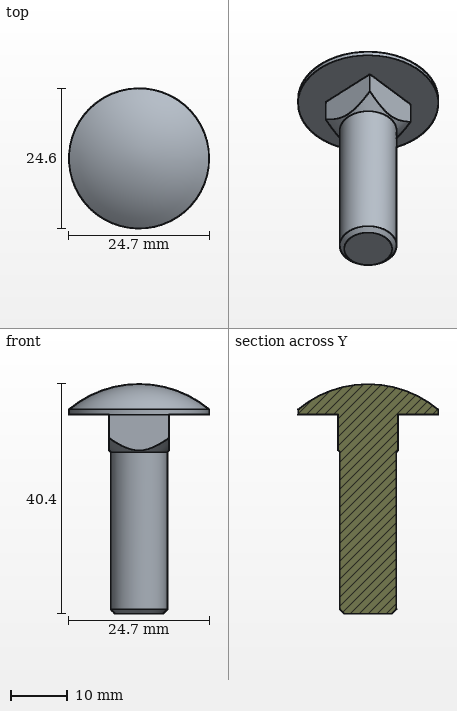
import cadquery as cq
import math

head_diameter = 24.65
head_height = 5.38
rim_height = 0.9
neck_width = 10.58
neck_length = 6.58
neck_taper_angle = 45
shank_diameter = 10.0
shank_length = 35.0
tip_chamfer = 0.8

head_radius = head_diameter / 2
shank_radius = shank_diameter / 2


def make_head():
    """Spherical dome standing on a thin cylindrical rim."""
    dome_height = head_height - rim_height
    dome_radius = (head_radius**2 + dome_height**2) / (2 * dome_height)
    dome_centre_z = head_height - dome_radius
    mid_x = head_radius / 2
    mid_z = dome_centre_z + math.sqrt(dome_radius**2 - mid_x**2)
    return (
        cq.Workplane("XZ")
        .moveTo(0, 0)
        .lineTo(head_radius, 0)
        .lineTo(head_radius, rim_height)
        .threePointArc((mid_x, mid_z), (0, head_height))
        .close()
        .revolve(360, (0, 0, 0), (0, 1, 0))
    )


def make_neck():
    """Square neck whose lower corners are cut by a cone narrowing to the shank."""
    square = cq.Workplane("XY").rect(neck_width, neck_width).extrude(-neck_length)
    envelope_radius = neck_width
    taper_length = (envelope_radius - shank_radius) / math.tan(math.radians(neck_taper_angle))
    envelope = (
        cq.Workplane("XZ")
        .moveTo(0, 0)
        .lineTo(envelope_radius, 0)
        .lineTo(envelope_radius, taper_length - neck_length)
        .lineTo(shank_radius, -neck_length)
        .lineTo(0, -neck_length)
        .close()
        .revolve(360, (0, 0, 0), (0, 1, 0))
    )
    return square.intersect(envelope)


def make_shank():
    """Plain round shank with a chamfered tip."""
    return (
        cq.Workplane("XY")
        .circle(shank_radius)
        .extrude(-shank_length)
        .faces("<Z")
        .chamfer(tip_chamfer)
    )


result = make_head().union(make_neck()).union(make_shank())